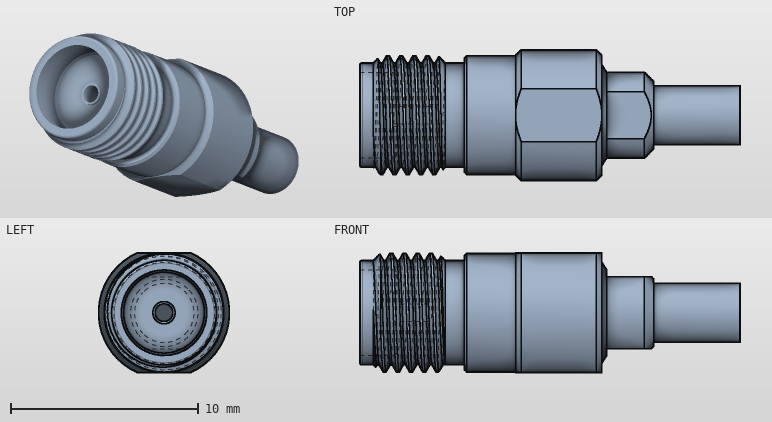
import cadquery as cq
import math

TOTAL_LENGTH = 20.32

ROOT_DIA = 5.59
NOSE_FILLET = 0.13
THREAD_START = 0.73
THREAD_END = 4.56
THREAD_MAJOR_DIA = 6.35
THREAD_PITCH = 25.4 / 36
THREAD_CREST_WIDTH = 0.14
THREAD_FLANK_ANGLE = 30
THREAD_CREST_AT_TOP = 1.68
THREAD_LEAD_IN_TURNS = 2.5
THREAD_EXTRA_TURNS = 2
THREAD_ROOT_OVERLAP = 0.1
THREAD_TRIM_MARGIN = 0.3

BARREL_START = 5.59
BARREL_DIA = THREAD_MAJOR_DIA
BARREL_CHAMFER = 0.13

COLLAR_START = 8.32
COLLAR_END = 12.93
COLLAR_DIA = 7.0
COLLAR_CHAMFER = 0.3
COLLAR_FLATS = 6.4

STEP_LARGE_DIA = 5.4
STEP_END = 13.18

FERRULE_DIA = 4.6
FERRULE_END = 15.7
FERRULE_CHAMFER = 0.5
FERRULE_FLATS = 3.86

CABLE_DIA = 3.17

BORE_DIA = 4.57
BORE_FLOOR_DIA = 4.32
BORE_DEPTH = 1.95
BORE_TAPER_LENGTH = (BORE_DIA - BORE_FLOOR_DIA) / 2
CONTACT_DIA = 1.19
CONTACT_PROTRUSION = 0.13
CONTACT_HOLE_DIA = 0.94
CONTACT_HOLE_DEPTH = 2.0


def revolve_profile(stations):
    """Solid of revolution about X from (x, diameter) stations."""
    outline = [(x, dia / 2) for x, dia in stations]
    first_x = stations[0][0]
    last_x = stations[-1][0]
    points = [(first_x, 0)] + outline + [(last_x, 0)]
    return cq.Workplane("XY").polyline(points).close().revolve(360, (0, 0, 0), (1, 0, 0))


def cut_flats(body, across_flats):
    """Trim a body of revolution to a given height across its +Z and -Z flats."""
    slab = cq.Workplane("XY").box(2 * TOTAL_LENGTH, 2 * COLLAR_DIA, across_flats)
    return body.intersect(slab)


def make_nose_and_barrel():
    body = revolve_profile([
        (0, ROOT_DIA),
        (BARREL_START, ROOT_DIA),
        (BARREL_START, BARREL_DIA - 2 * BARREL_CHAMFER),
        (BARREL_START + BARREL_CHAMFER, BARREL_DIA),
        (COLLAR_START, BARREL_DIA),
    ])
    return body.faces("<X").edges().fillet(NOSE_FILLET)


def make_collar():
    end_dia = COLLAR_DIA - 2 * COLLAR_CHAMFER
    body = revolve_profile([
        (COLLAR_START, end_dia),
        (COLLAR_START + COLLAR_CHAMFER, COLLAR_DIA),
        (COLLAR_END - COLLAR_CHAMFER, COLLAR_DIA),
        (COLLAR_END, end_dia),
    ])
    return cut_flats(body, COLLAR_FLATS)


def make_step():
    return revolve_profile([(COLLAR_END, STEP_LARGE_DIA), (STEP_END, FERRULE_DIA)])


def make_ferrule():
    body = revolve_profile([
        (STEP_END, FERRULE_DIA),
        (FERRULE_END - FERRULE_CHAMFER, FERRULE_DIA),
        (FERRULE_END, FERRULE_DIA - 2 * FERRULE_CHAMFER),
    ])
    return cut_flats(body, FERRULE_FLATS)


def make_cable():
    return revolve_profile([(FERRULE_END, CABLE_DIA), (TOTAL_LENGTH, CABLE_DIA)])


def make_thread():
    """Right-hand helical ridge, trimmed to 45 degree cones at both ends."""
    base_radius = ROOT_DIA / 2 - THREAD_ROOT_OVERLAP
    crest_radius = THREAD_MAJOR_DIA / 2
    ridge_height = crest_radius - base_radius
    half_crest = THREAD_CREST_WIDTH / 2
    half_base = half_crest + ridge_height * math.tan(math.radians(THREAD_FLANK_ANGLE))

    turns = math.ceil((THREAD_END - THREAD_START) / THREAD_PITCH) + THREAD_EXTRA_TURNS
    length = turns * THREAD_PITCH
    helix = cq.Wire.makeHelix(THREAD_PITCH, length, base_radius)
    ridge = (
        cq.Workplane("XZ")
        .polyline([
            (base_radius, -half_base),
            (crest_radius, -half_crest),
            (crest_radius, half_crest),
            (base_radius, half_base),
        ])
        .close()
        .sweep(cq.Workplane(obj=helix), isFrenet=True)
    )
    ridge = ridge.rotate((0, 0, 0), (0, 1, 0), 90)
    helix_start = THREAD_CREST_AT_TOP - THREAD_LEAD_IN_TURNS * THREAD_PITCH
    ridge = ridge.translate((helix_start, 0, 0))

    inner_dia = ROOT_DIA - 2 * THREAD_TRIM_MARGIN
    outer_dia = THREAD_MAJOR_DIA + 2 * THREAD_TRIM_MARGIN
    cone_length = (outer_dia - inner_dia) / 2
    trim_start = THREAD_START - THREAD_TRIM_MARGIN
    trim_end = THREAD_END + THREAD_TRIM_MARGIN
    trim = revolve_profile([
        (trim_start, inner_dia),
        (trim_start + cone_length, outer_dia),
        (trim_end - cone_length, outer_dia),
        (trim_end, inner_dia),
    ])
    return ridge.intersect(trim)


def make_socket():
    """Space inside the socket, leaving the centre contact standing."""
    contact_tip = BORE_DEPTH - CONTACT_PROTRUSION
    hole_floor = contact_tip + CONTACT_HOLE_DEPTH
    return revolve_profile([
        (0, BORE_DIA),
        (BORE_DEPTH - BORE_TAPER_LENGTH, BORE_DIA),
        (BORE_DEPTH, BORE_FLOOR_DIA),
        (BORE_DEPTH, CONTACT_DIA),
        (contact_tip, CONTACT_DIA),
        (contact_tip, CONTACT_HOLE_DIA),
        (hole_floor, CONTACT_HOLE_DIA),
    ])


body = make_nose_and_barrel()
for section in (make_collar(), make_step(), make_ferrule(), make_cable(), make_thread()):
    body = body.union(section)

result = body.cut(make_socket())